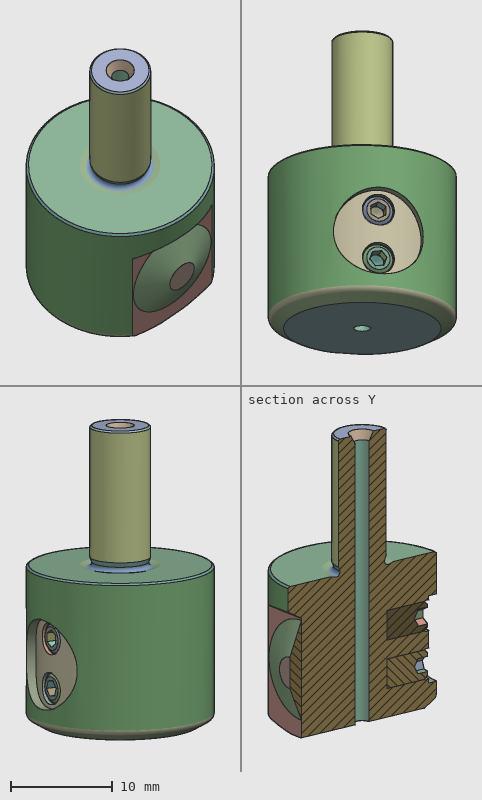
import cadquery as cq
import math

TOTAL_HEIGHT = 30.0
HEAD_HEIGHT = 16.0
HEAD_RADIUS = 9.255
HEAD_TOP_CHAMFER_WIDTH = 0.25
HEAD_TOP_CHAMFER_HEIGHT = 0.18
BOTTOM_RADIUS = 7.75
BOTTOM_BEVEL_ANGLE = 30.0
BOTTOM_ROUND = 0.6

SHANK_RADIUS = 3.0
SHANK_CHAMFER = 0.18
NECK_RADIUS = 2.82
NECK_TAPER_TOP = 0.8
NECK_TAPER_BOTTOM = 0.33
UNDERCUT_FILLET = 0.4
UNDERCUT_OUTER_RADIUS = 3.95
UNDERCUT_ANGLE = 15.0

BORE_RADIUS = 0.85
COUNTERSINK_RADIUS = 1.38
COUNTERSINK_ANGLE = 60.0

CROSS_HEIGHT = 7.02

SEAT_X = 7.6
SEAT_TOP = 12.4
SEAT_SLOPE = 30.0

POCKET_RADIUS = 4.5
POCKET_DEPTH = 0.95

SCREW_SPACING = 5.0
SCREW_RADIUS = 1.5
SCREW_LENGTH = 5.0
SCREW_RECESS = 0.15
SCREW_CHAMFER = 0.33
SCREW_MOUTH_RADIUS = 1.6
HEX_ACROSS_FLATS = 1.5
HEX_DEPTH = 1.2
HEX_TIP_ANGLE = 120.0
HEX_TURNS = (0.0, 20.0)

INSERT_BASE_RADIUS = 5.15
INSERT_TIP_RADIUS = 1.62
INSERT_HEIGHT = 1.45

POCKET_FLOOR_RADIUS = HEAD_RADIUS - POCKET_DEPTH
SCREW_FACE_X = SCREW_RECESS - POCKET_FLOOR_RADIUS
SCREW_HEIGHTS = (CROSS_HEIGHT + SCREW_SPACING / 2, CROSS_HEIGHT - SCREW_SPACING / 2)


def sine(degrees):
    return math.sin(math.radians(degrees))


def cosine(degrees):
    return math.cos(math.radians(degrees))


def tangent(degrees):
    return math.tan(math.radians(degrees))


def disc_along_x(x_start, x_end, radius, height):
    """Cylinder along X, centred on Y = 0 at the given height."""
    return (
        cq.Workplane("YZ", origin=(x_start, 0, height))
        .circle(radius)
        .extrude(x_end - x_start)
    )


def cone_along_x(x_start, start_radius, length, end_radius, height):
    """Cone or frustum growing toward +X from x_start."""
    cone = cq.Solid.makeCone(
        start_radius, end_radius, length, pnt=cq.Vector(x_start, 0, height), dir=cq.Vector(1, 0, 0)
    )
    return cq.Workplane(obj=cone)


def turned_blank():
    """Head and shank revolved about Z, including bevel, undercut and chamfers."""
    corner_z = (HEAD_RADIUS - BOTTOM_RADIUS) * tangent(BOTTOM_BEVEL_ANGLE)
    turn = 90.0 - BOTTOM_BEVEL_ANGLE
    tangent_length = BOTTOM_ROUND * tangent(turn / 2)
    round_start = (
        HEAD_RADIUS - tangent_length * cosine(BOTTOM_BEVEL_ANGLE),
        corner_z - tangent_length * sine(BOTTOM_BEVEL_ANGLE),
    )
    round_end = (HEAD_RADIUS, corner_z + tangent_length)

    fillet_centre_r = NECK_RADIUS + UNDERCUT_FILLET
    fillet_start_r = fillet_centre_r + UNDERCUT_FILLET * sine(UNDERCUT_ANGLE)
    dish_depth = (UNDERCUT_OUTER_RADIUS - fillet_start_r) * tangent(UNDERCUT_ANGLE)
    fillet_start = (fillet_start_r, HEAD_HEIGHT - dish_depth)
    fillet_end = (NECK_RADIUS, fillet_start[1] + UNDERCUT_FILLET * cosine(UNDERCUT_ANGLE))

    return (
        cq.Workplane("XZ")
        .moveTo(0, 0)
        .lineTo(BOTTOM_RADIUS, 0)
        .lineTo(*round_start)
        .tangentArcPoint(round_end, relative=False)
        .lineTo(HEAD_RADIUS, HEAD_HEIGHT - HEAD_TOP_CHAMFER_HEIGHT)
        .lineTo(HEAD_RADIUS - HEAD_TOP_CHAMFER_WIDTH, HEAD_HEIGHT)
        .lineTo(UNDERCUT_OUTER_RADIUS, HEAD_HEIGHT)
        .lineTo(*fillet_start)
        .tangentArcPoint(fillet_end, relative=False)
        .lineTo(NECK_RADIUS, HEAD_HEIGHT + NECK_TAPER_BOTTOM)
        .lineTo(SHANK_RADIUS, HEAD_HEIGHT + NECK_TAPER_TOP)
        .lineTo(SHANK_RADIUS, TOTAL_HEIGHT - SHANK_CHAMFER)
        .lineTo(SHANK_RADIUS - SHANK_CHAMFER, TOTAL_HEIGHT)
        .lineTo(0, TOTAL_HEIGHT)
        .close()
        .revolve(360, (0, 0, 0), (0, 1, 0))
    )


def axial_bore():
    """Through hole along Z with a countersink at the shank end."""
    countersink_depth = (COUNTERSINK_RADIUS - BORE_RADIUS) / tangent(COUNTERSINK_ANGLE / 2)
    return (
        cq.Workplane("XZ")
        .moveTo(0, 0)
        .lineTo(BORE_RADIUS, 0)
        .lineTo(BORE_RADIUS, TOTAL_HEIGHT - countersink_depth)
        .lineTo(COUNTERSINK_RADIUS, TOTAL_HEIGHT)
        .lineTo(0, TOTAL_HEIGHT)
        .close()
        .revolve(360, (0, 0, 0), (0, 1, 0))
    )


def insert_relief():
    """Flat seat on the +X side, open at the bottom, under a sloping roof."""
    roof_rise = (HEAD_RADIUS - SEAT_X) * tangent(SEAT_SLOPE)
    return (
        cq.Workplane("XZ")
        .moveTo(SEAT_X, 0)
        .lineTo(HEAD_RADIUS, 0)
        .lineTo(HEAD_RADIUS, SEAT_TOP + roof_rise)
        .lineTo(SEAT_X, SEAT_TOP)
        .close()
        .extrude(HEAD_RADIUS, both=True)
    )


def round_pocket():
    """Round pocket on the -X side whose floor follows the head's curvature."""
    core = cq.Workplane("XY").circle(POCKET_FLOOR_RADIUS).extrude(HEAD_HEIGHT)
    return disc_along_x(-HEAD_RADIUS, 0, POCKET_RADIUS, CROSS_HEIGHT).cut(core)


def screw_hole(height):
    """Blind hole that fits one set screw, with a wider mouth as deep as the screw's chamfer."""
    hole_end = SCREW_FACE_X + SCREW_LENGTH
    mouth_end = SCREW_FACE_X + SCREW_CHAMFER
    hole = disc_along_x(-HEAD_RADIUS, hole_end, SCREW_RADIUS, height)
    mouth = disc_along_x(-HEAD_RADIUS, mouth_end, SCREW_MOUTH_RADIUS, height)
    return hole.union(mouth)


def make_holder():
    holder = turned_blank().cut(axial_bore()).cut(insert_relief()).cut(round_pocket())
    for height in SCREW_HEIGHTS:
        holder = holder.cut(screw_hole(height))
    return holder


def make_set_screw(height, hex_turn):
    """Set screw with a chamfered face and a hexagon socket ending in a drill cone."""
    body = (
        disc_along_x(SCREW_FACE_X, SCREW_FACE_X + SCREW_LENGTH, SCREW_RADIUS, height)
        .faces("<X")
        .chamfer(SCREW_CHAMFER)
    )
    hex_across_corners = HEX_ACROSS_FLATS / cosine(30)
    socket = (
        cq.Workplane("YZ", origin=(SCREW_FACE_X, 0, height))
        .transformed(rotate=(0, 0, 90 + hex_turn))
        .polygon(6, hex_across_corners)
        .extrude(HEX_DEPTH)
    )
    tip_radius = HEX_ACROSS_FLATS / 2
    tip_length = tip_radius / tangent(HEX_TIP_ANGLE / 2)
    tip = cone_along_x(SCREW_FACE_X + HEX_DEPTH, tip_radius, tip_length, 0, height)
    return body.cut(socket).cut(tip)


def make_insert():
    """Conical insert standing on the flat seat and pointing along +X."""
    return cone_along_x(SEAT_X, INSERT_BASE_RADIUS, INSERT_HEIGHT, INSERT_TIP_RADIUS, CROSS_HEIGHT)


holder = make_holder()
insert = make_insert()
set_screws = [
    make_set_screw(height, hex_turn).val() for height, hex_turn in zip(SCREW_HEIGHTS, HEX_TURNS)
]

result = cq.Compound.makeCompound([holder.val(), insert.val(), *set_screws])